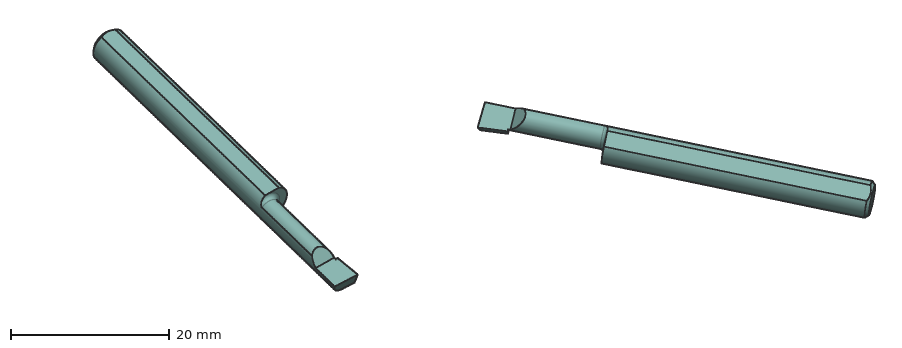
import cadquery as cq
import math

total_length = 50.8
shank_radius = 2.4
shank_length = 34.5
flat_height = 2.15
end_chamfer = 0.45

neck_radius = 1.6
neck_axis_y = -1.0
neck_fillet = 0.6

rake_z = 0.0
ramp_end = 46.7
head_start = 47.0
head_start_y = 0.85
tip_y = 1.15
end_setback = 0.15
relief_angle = 10.0

clearance = 5.1
head_bottom = -neck_radius


def cylinder(radius, start, end, axis_y=0.0):
    """Cylinder along X between two stations."""
    return cq.Workplane("YZ", origin=(start, axis_y, 0)).circle(radius).extrude(end - start)


def make_shank():
    return cylinder(shank_radius, 0, shank_length).faces("<X").chamfer(end_chamfer)


def make_above_flat():
    """Material to remove above the flat along the whole part."""
    return cq.Workplane("XY", origin=(0, 0, flat_height)).rect(
        2 * total_length + clearance, 2 * clearance
    ).extrude(clearance)


def make_neck():
    """Neck with a concave fillet at its root, turned about the neck axis."""
    root_radius = neck_radius + neck_fillet
    fillet_end = shank_length + neck_fillet
    arc_offset = neck_fillet * (1 - math.sqrt(0.5))
    neck = (
        cq.Workplane("XY", origin=(0, neck_axis_y, 0))
        .moveTo(shank_length, 0)
        .lineTo(shank_length, root_radius)
        .threePointArc((shank_length + arc_offset, neck_radius + arc_offset), (fillet_end, neck_radius))
        .lineTo(total_length, neck_radius)
        .lineTo(total_length, 0)
        .close()
        .revolve(360, (0, 0, 0), (1, 0, 0))
    )
    above_rake = (
        cq.Workplane("XZ", origin=(0, clearance, 0))
        .moveTo(ramp_end, rake_z)
        .lineTo(ramp_end - clearance, rake_z + clearance)
        .lineTo(total_length + clearance, rake_z + clearance)
        .lineTo(total_length + clearance, rake_z)
        .close()
        .extrude(2 * clearance)
    )
    beyond_head = cq.Workplane("XY").box(
        clearance, 2 * clearance, 2 * clearance, centered=(False, True, True)
    ).translate((head_start + neck_fillet, 0, 0))
    return neck.cut(above_rake).cut(beyond_head)


def make_head():
    """Head relieved below its rake face and rounded under its -Y half like the neck."""
    end_slope = end_setback / (tip_y + shank_radius)
    outer_x = total_length - end_slope * (tip_y + clearance)
    flank_slope = (tip_y - head_start_y) / (total_length - head_start)
    back_x = head_start - neck_fillet
    head = (
        cq.Workplane("XY", origin=(0, 0, rake_z))
        .moveTo(back_x, -clearance)
        .lineTo(outer_x, -clearance)
        .lineTo(total_length, tip_y)
        .lineTo(back_x, tip_y - flank_slope * (total_length - back_x))
        .close()
        .extrude(head_bottom - rake_z, taper=relief_angle)
    )
    envelope = cylinder(neck_radius, head_start, total_length, neck_axis_y).union(
        cq.Workplane("XY").box(
            total_length - head_start, clearance, neck_radius, centered=False
        ).translate((head_start, neck_axis_y, head_bottom))
    )
    return head.intersect(envelope)


shank_envelope = cylinder(shank_radius, 0, total_length)
working_end = make_neck().union(make_head()).intersect(shank_envelope)
result = make_shank().union(working_end).cut(make_above_flat())